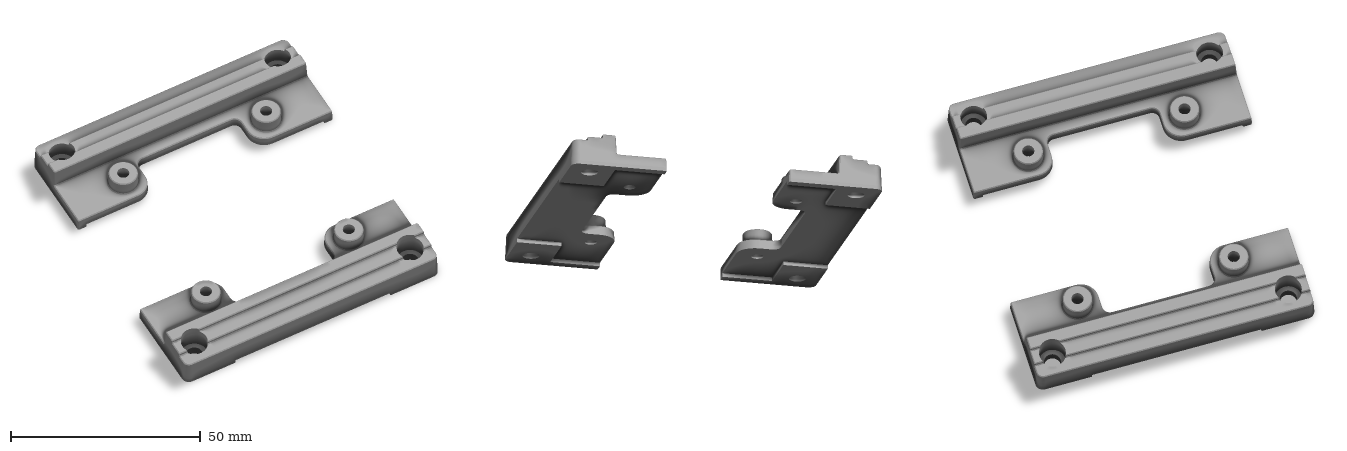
import cadquery as cq
import math

TOTAL_X = 84.2
LENGTH = 76.5
HEIGHT = 9.0
WIDTH = 25.5
PLATE_TOP = 3.6
CORNER_RADIUS = 2.0
DRAFT_ANGLE = 3.0
EDGE_CHAMFER = 0.25

NOTCH_FLOOR = 15.15
NOTCH_LENGTH = 30.55
NOTCH_INNER_RADIUS = 2.0
NOTCH_OUTER_RADIUS = 5.0

STEP_RISE = 1.0
FIRST_RISER = 4.2
SECOND_RISER = 8.25
RAIL_FOOT = 12.0

FOOT_HEIGHT = 1.0
FOOT_LENGTH = 15.0
FOOT_STRIP = 2.5

MOUNT_X = 6.0
MOUNT_Y = 32.4
MOUNT_DIAMETER = 4.5
COUNTERBORE_DIAMETER = 7.1
COUNTERBORE_FLOOR = 2.5

BOSS_X = 19.5
BOSS_Y = 21.5
BOSS_TOP = 7.4
BOSS_DIAMETER = 8.1
BOSS_HOLE_DIAMETER = 3.2

HALF_LENGTH = LENGTH / 2
HALF_NOTCH = NOTCH_LENGTH / 2
SLOPE = math.tan(math.radians(DRAFT_ANGLE))
END_SIGNS = (-1, 1)
MARGIN = 0.8


def corner_pair(x, half_span):
    """Selects the two plan corners at (x, -half_span) and (x, +half_span)."""
    reach = 0.1
    low = cq.selectors.BoxSelector(
        (x - reach, -half_span - reach, -reach), (x + reach, -half_span + reach, reach)
    )
    high = cq.selectors.BoxSelector(
        (x - reach, half_span - reach, -reach), (x + reach, half_span + reach, reach)
    )
    return low + high


def plan_prism(bottom, height, taper):
    """The notched plan of the bracket, extruded upward."""
    outline = [
        (0, -HALF_LENGTH),
        (WIDTH, -HALF_LENGTH),
        (WIDTH, -HALF_NOTCH),
        (NOTCH_FLOOR, -HALF_NOTCH),
        (NOTCH_FLOOR, HALF_NOTCH),
        (WIDTH, HALF_NOTCH),
        (WIDTH, HALF_LENGTH),
        (0, HALF_LENGTH),
    ]
    plan = cq.Sketch().polygon(outline + outline[:1])
    plan = plan.vertices(corner_pair(0, HALF_LENGTH)).fillet(CORNER_RADIUS).reset()
    plan = plan.vertices(corner_pair(NOTCH_FLOOR, HALF_NOTCH)).fillet(NOTCH_INNER_RADIUS).reset()
    plan = plan.vertices(corner_pair(WIDTH, HALF_NOTCH)).fillet(NOTCH_OUTER_RADIUS).reset()
    plan = plan.vertices(corner_pair(WIDTH, HALF_LENGTH)).chamfer(EDGE_CHAMFER).reset()
    return cq.Workplane("XY", origin=(0, 0, bottom)).placeSketch(plan).extrude(height, taper=taper)


def stepped_profile():
    """The cross-section of plate and stepped rail, extruded along Y past both ends."""
    first_step = HEIGHT - 2 * STEP_RISE
    second_step = HEIGHT - STEP_RISE
    rail_top_edge = RAIL_FOOT - SLOPE * (HEIGHT - PLATE_TOP)
    section = [
        (-MARGIN, 0),
        (WIDTH + MARGIN, 0),
        (WIDTH + MARGIN, PLATE_TOP),
        (RAIL_FOOT, PLATE_TOP),
        (rail_top_edge, HEIGHT),
        (SECOND_RISER, HEIGHT),
        (SECOND_RISER, second_step),
        (FIRST_RISER, second_step),
        (FIRST_RISER, first_step),
        (-MARGIN, first_step),
    ]
    return cq.Workplane("XZ").polyline(section).close().extrude(LENGTH, both=True)


def bevel_edges(body):
    """Bevels the edges of the upward faces and the upright ends of the rail wall."""
    rail_wall = cq.selectors.BoxSelector(
        (RAIL_FOOT - MARGIN, -LENGTH, PLATE_TOP), (RAIL_FOOT, LENGTH, HEIGHT)
    )
    wall_ends = body.edges(rail_wall).edges("not #Z").edges("not |Y")
    edges = wall_ends.vals()
    for edge in body.faces("+Z").edges().vals():
        if not any(edge.isSame(kept) for kept in edges):
            edges.append(edge)
    return body.newObject(edges).chamfer(EDGE_CHAMFER)


def feet():
    """Upright feet at both ends, clear of the middle and of the inside of the plate."""
    pads = plan_prism(0, FOOT_HEIGHT, 0)
    middle_gap = cq.Workplane("XY").box(
        2 * TOTAL_X, LENGTH - 2 * FOOT_LENGTH, 2 * FOOT_HEIGHT
    )
    plate_gap = (
        cq.Workplane("XY")
        .box(WIDTH, LENGTH - 2 * FOOT_STRIP, 2 * FOOT_HEIGHT)
        .translate((RAIL_FOOT + WIDTH / 2, 0, 0))
    )
    return pads.cut(middle_gap).cut(plate_gap)


def boss(y):
    """A drafted round boss with a bevelled rim and a flared base."""
    base_radius = BOSS_DIAMETER / 2
    top_radius = base_radius - SLOPE * (BOSS_TOP - PLATE_TOP)
    half_section = [
        (0, PLATE_TOP),
        (base_radius + EDGE_CHAMFER, PLATE_TOP),
        (base_radius, PLATE_TOP + EDGE_CHAMFER),
        (top_radius, BOSS_TOP - EDGE_CHAMFER),
        (top_radius - EDGE_CHAMFER, BOSS_TOP),
        (0, BOSS_TOP),
    ]
    turned = cq.Workplane("XZ").polyline(half_section).close().revolve(360, (0, 0), (0, 1))
    return turned.translate((BOSS_X, y, 0))


def upright_cylinder(x, y, diameter, bottom):
    """A cutting cylinder from the given height to above the bracket."""
    return cq.Workplane("XY", origin=(x, y, bottom)).circle(diameter / 2).extrude(HEIGHT + MARGIN)


def bracket():
    """One bracket with its outer edge at x = 0."""
    body = plan_prism(FOOT_HEIGHT, HEIGHT, DRAFT_ANGLE).intersect(stepped_profile())
    body = bevel_edges(body)
    body = body.union(feet())
    for sign in END_SIGNS:
        body = body.union(boss(sign * BOSS_Y))
        body = body.cut(upright_cylinder(BOSS_X, sign * BOSS_Y, BOSS_HOLE_DIAMETER, 0))
        body = body.cut(upright_cylinder(MOUNT_X, sign * MOUNT_Y, MOUNT_DIAMETER, 0))
        body = body.cut(
            upright_cylinder(MOUNT_X, sign * MOUNT_Y, COUNTERBORE_DIAMETER, COUNTERBORE_FLOOR)
        )
    return body


left_bracket = bracket().translate((-TOTAL_X / 2, 0, 0))
right_bracket = left_bracket.mirror("YZ")
result = cq.Compound.makeCompound([*left_bracket.solids().vals(), *right_bracket.solids().vals()])